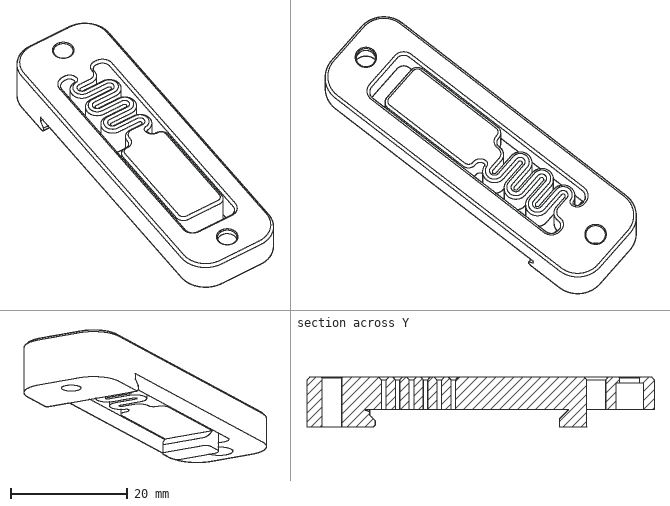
import cadquery as cq

length = 59.9
width = 18.0
height = 8.6
foot_height = 3.0
plate_thickness = height - foot_height
frame_corner = 5.0
top_chamfer = 0.5

hole_diameter = 3.35
hole_chamfer = 0.2
hole_chamfer_angle = 90
hole_x = 25.65
bore_diameter = 4.7
bore_roof = 1.1

foot_right = -19.1
hook_reach = 0.95
hook_rise_top = 2.05
hook_nose_top = hook_rise_top - hook_reach
hook_chamfer = 0.35
ledge_drop = 0.3

window_left = -20.05
window_right = 21.5
window_half_width = 4.9
window_corner = 1.5

band_pitch = 2.4
band_width = 1.7
first_band_x = -17.9
band_count = 7
last_band_x = first_band_x + (band_count - 1) * band_pitch
bend_y = 2.05

root_right = first_band_x + band_width / 2
neck_left = last_band_x - band_width / 2
block_outer_fillet = 1.8
block_inner_fillet = 1.0
bend_fillet = 0.25

button_left = -1.4
button_right = 18.25
button_half_width = 4.7
button_corner = 1.45

peg_left = 13.55
peg_corner = 0.95
peg_ramp_bottom = 1.45
peg_ramp_rise = foot_height - peg_ramp_bottom


def block(x_min, x_max, half_width, z_min, z_max):
    """Box centred on the X axis in plan."""
    return (
        cq.Workplane("XY", origin=((x_min + x_max) / 2, 0, z_min))
        .rect(x_max - x_min, 2 * half_width)
        .extrude(z_max - z_min)
    )


def round_upright(body, radius, corners):
    """Fillet the upright edge at each plan position in corners."""
    for x, y in corners:
        nearest = cq.selectors.NearestToPointSelector((x, y, foot_height + plate_thickness / 2))
        body = body.edges("|Z").edges(nearest).fillet(radius)
    return body


def mirrored(x, y):
    """The two plan positions at x on either side of the X axis."""
    return [(x, y), (x, -y)]


def make_spring():
    path = cq.Workplane("XY", origin=(0, 0, foot_height)).moveTo(first_band_x, 0)
    side = -1
    for band in range(band_count - 1):
        x = first_band_x + band * band_pitch
        bend_middle = (x + band_pitch / 2, side * (bend_y + band_pitch / 2))
        bend_end = (x + band_pitch, side * bend_y)
        path = path.lineTo(x, side * bend_y).threePointArc(bend_middle, bend_end)
        side = -side
    path = path.lineTo(last_band_x, 0)
    return path.offset2D(band_width / 2).extrude(plate_thickness)


def make_opening():
    """The empty space around the spring and the button."""
    window = block(window_left, window_right, window_half_width, foot_height, height)
    window = window.edges("|Z").fillet(window_corner)
    root = block(window_left, root_right, bend_y, foot_height, height)
    neck = block(neck_left, button_left, bend_y, foot_height, height)
    button = block(button_left, button_right, button_half_width, foot_height, height)
    button = button.edges("|Z").fillet(button_corner)

    opening = window.cut(root).cut(neck).cut(button).cut(make_spring())
    opening = round_upright(opening, block_outer_fillet, [(root_right, bend_y), (neck_left, -bend_y)])
    inner_corners = mirrored(window_left, bend_y) + mirrored(button_left, bend_y)
    opening = round_upright(opening, block_inner_fillet, inner_corners)
    bend_reach = (band_pitch + band_width) / 2
    first_bend_edge = first_band_x + band_pitch / 2 - bend_reach
    last_bend_edge = last_band_x - band_pitch / 2 + bend_reach
    return round_upright(opening, bend_fillet, [(first_bend_edge, -bend_y), (last_bend_edge, bend_y)])


def make_plate():
    plate = block(-length / 2, length / 2, width / 2, foot_height, height)
    plate = plate.edges("|Z").fillet(frame_corner)
    plate = plate.cut(make_opening())
    return plate.faces(">Z").edges().chamfer(top_chamfer)


def make_ledge_slope():
    """Wedge that tilts the top of the foot, inside the window, down towards the hook."""
    return (
        cq.Workplane("XZ", origin=(0, window_half_width, 0))
        .moveTo(window_left, foot_height)
        .lineTo(foot_right, foot_height - ledge_drop)
        .lineTo(foot_right, foot_height)
        .close()
        .extrude(2 * window_half_width)
    )


def make_foot():
    hook_tip = foot_right + hook_reach
    foot = (
        cq.Workplane("XZ", origin=(0, width / 2, 0))
        .moveTo(-length / 2, 0)
        .lineTo(hook_tip - hook_chamfer, 0)
        .lineTo(hook_tip, hook_chamfer)
        .lineTo(hook_tip, hook_nose_top)
        .lineTo(foot_right, hook_rise_top)
        .lineTo(foot_right, foot_height)
        .lineTo(-length / 2, foot_height)
        .close()
        .extrude(width)
    )
    foot = foot.edges("|Z and <X").fillet(frame_corner)
    return foot.cut(make_ledge_slope())


def make_peg():
    peg = block(peg_left, button_right, button_half_width, 0, foot_height)
    peg = peg.edges("|Z and >X").fillet(button_corner)
    peg = peg.edges("|Z and <X").fillet(peg_corner)
    ramp = (
        cq.Workplane("XZ", origin=(0, button_half_width, 0))
        .moveTo(peg_left, peg_ramp_bottom)
        .lineTo(peg_left + peg_ramp_rise, foot_height)
        .lineTo(peg_left, foot_height)
        .close()
        .extrude(2 * button_half_width)
    )
    return peg.cut(ramp)


def drill_screw_holes(body):
    rim_diameter = hole_diameter + 2 * hole_chamfer
    on_top = body.faces(">Z").workplane(origin=(0, 0, height))
    centres = [(-hole_x, 0), (hole_x, 0)]
    body = on_top.pushPoints(centres).cskHole(hole_diameter, rim_diameter, hole_chamfer_angle)
    bore = cq.Workplane("XY").center(hole_x, 0).circle(bore_diameter / 2).extrude(height - bore_roof)
    return body.cut(bore)


result = drill_screw_holes(make_plate().union(make_foot()).union(make_peg()))